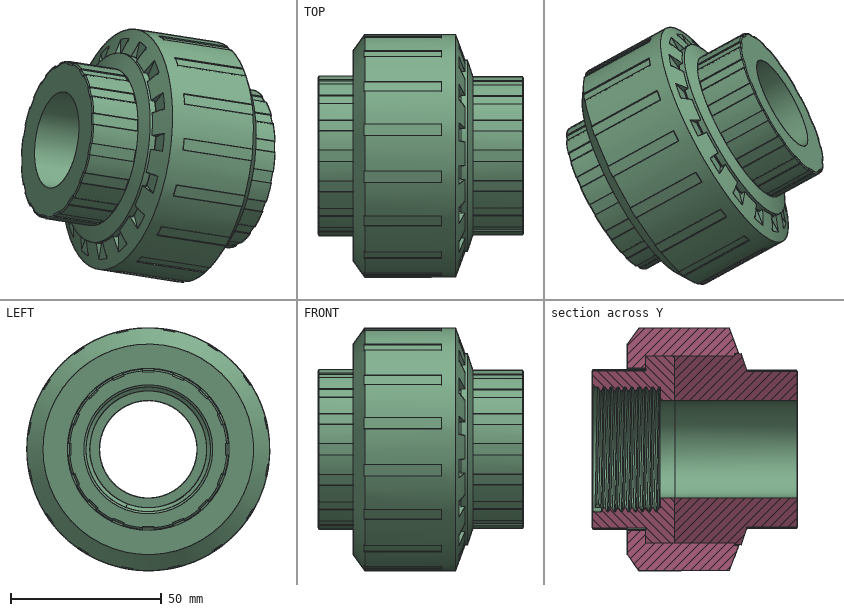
import cadquery as cq
import math


LENGTH = 68.3
FLOW_RADIUS = 16.2

NUT_RADIUS = 40.5
NUT_START = 11.7
NUT_FACE_RADIUS = 35.1
NUT_CHAMFER_END = 15.55
NUT_CONE_START = 45.75
NUT_END = 48.9
NUT_BORE_RADIUS = 27.0
NUT_LIP_END = 17.8
NUT_GROOVE_END = 41.05
NUT_GROOVE_WIDTH = 3.9
NUT_GROOVE_DEPTH = 0.5
NUT_GROOVE_CUT = 1.6
NUT_TURN = 12.5
NOTCH_START = 47.0
NOTCH_INNER_RADIUS = 30.3
NOTCH_INNER_HALF_WIDTH = 2.1
NOTCH_OUTER_HALF_WIDTH = 3.15
NOTCH_OUTER_RADIUS = 38.05

GRIP_COUNT = 16
GRIP_PITCH = 360 / GRIP_COUNT
HUB_GROOVE_WIDTH = 3.9
HUB_GROOVE_DEPTH = 0.5
HUB_CHAMFER = 0.6
END_BEVEL_LENGTH = 0.3

SOCKET_HUB_RADIUS = 26.7
SOCKET_DEPTH = 22.7
SOCKET_BORE_RADIUS = 20.7
SOCKET_BORE_CHAMFER = 0.7
JOINT_X = 27.5
BARREL_RADIUS = 31.1

THREAD_PITCH = 2.31
THREAD_START = 1.9
THREAD_TURNS = 9.7
THREAD_CREST_RADIUS = 19.4
THREAD_CREST_WIDTH = 0.6
THREAD_ROOT_WIDTH = 2.2
THREAD_ROOT_EMBED = 0.25
THREAD_START_ANGLE = 21.0

TAIL_HUB_RADIUS = 26.5
COLLAR_RADIUS = 31.9
COLLAR_START = 47.5
COLLAR_END = 49.7
TAIL_CONE_END = 51.5


def revolve_about_x(points):
    """Solid of revolution about X from an outline of (x, radius) points."""
    return cq.Workplane("XY").polyline(points).close().revolve(360, (0, 0, 0), (1, 0, 0))


def around_x(shape, first_angle=0.0):
    """Copies of a shape modelled at -Y, turned about X towards +Z, as one cutter."""
    copies = cq.Workplane("XY")
    for index in range(GRIP_COUNT):
        angle = -(first_angle + index * GRIP_PITCH)
        copies.add(shape.rotate((0, 0, 0), (1, 0, 0), angle))
    return copies.combine()


def nut_groove():
    """Flat-floored groove that runs out through the front chamfer of the nut."""
    return cq.Workplane("XY").box(
        NUT_GROOVE_END - NUT_START, NUT_GROOVE_CUT, NUT_GROOVE_WIDTH, centered=(False, False, True)
    ).translate((NUT_START, NUT_GROOVE_DEPTH - NUT_RADIUS - NUT_GROOVE_CUT, 0))


def hub_groove(hub_radius, outer_end, inner_end):
    """Flat-floored groove along a hub, with its floor chamfered at the outer end."""
    floor = hub_radius - HUB_GROOVE_DEPTH
    top = hub_radius + HUB_GROOVE_DEPTH
    inward = math.copysign(END_BEVEL_LENGTH, inner_end - outer_end)
    return (
        cq.Workplane("XY")
        .polyline([
            (outer_end, -top),
            (outer_end, HUB_CHAMFER - floor),
            (outer_end + inward, -floor),
            (inner_end, -floor),
            (inner_end, -top),
        ])
        .close()
        .extrude(HUB_GROOVE_WIDTH / 2, both=True)
    )


def make_nut():
    body = revolve_about_x([
        (NUT_START, NUT_BORE_RADIUS),
        (NUT_START, NUT_FACE_RADIUS),
        (NUT_CHAMFER_END, NUT_RADIUS),
        (NUT_CONE_START, NUT_RADIUS),
        (NUT_END, COLLAR_RADIUS),
        (COLLAR_START, COLLAR_RADIUS),
        (COLLAR_START, BARREL_RADIUS),
        (NUT_LIP_END, BARREL_RADIUS),
        (NUT_LIP_END, NUT_BORE_RADIUS),
    ])
    notch = (
        cq.Workplane("YZ", origin=(NOTCH_START, 0, 0))
        .polyline([
            (-NOTCH_INNER_RADIUS, -NOTCH_INNER_HALF_WIDTH),
            (-NOTCH_INNER_RADIUS, NOTCH_INNER_HALF_WIDTH),
            (-NOTCH_OUTER_RADIUS, NOTCH_OUTER_HALF_WIDTH),
            (-NOTCH_OUTER_RADIUS, -NOTCH_OUTER_HALF_WIDTH),
        ])
        .close()
        .extrude(NUT_END - NOTCH_START)
    )
    return body.cut(around_x(nut_groove(), NUT_TURN)).cut(around_x(notch, NUT_TURN))


def make_thread_ridge():
    """Right-hand trapezoidal ridge, its root sunk into the socket wall."""
    root_radius = SOCKET_BORE_RADIUS + THREAD_ROOT_EMBED
    helix = cq.Wire.makeHelix(THREAD_PITCH, THREAD_TURNS * THREAD_PITCH, SOCKET_BORE_RADIUS)
    ridge = (
        cq.Workplane("XZ")
        .polyline([
            (root_radius, -THREAD_ROOT_WIDTH / 2),
            (THREAD_CREST_RADIUS, -THREAD_CREST_WIDTH / 2),
            (THREAD_CREST_RADIUS, THREAD_CREST_WIDTH / 2),
            (root_radius, THREAD_ROOT_WIDTH / 2),
        ])
        .close()
        .sweep(cq.Workplane(obj=helix), isFrenet=True)
    )
    return (
        ridge.rotate((0, 0, 0), (0, 1, 0), 90)
        .rotate((0, 0, 0), (1, 0, 0), THREAD_START_ANGLE)
        .translate((THREAD_START, 0, 0))
    )


def make_socket_end():
    body = revolve_about_x([
        (END_BEVEL_LENGTH, SOCKET_BORE_RADIUS),
        (0, SOCKET_BORE_RADIUS + SOCKET_BORE_CHAMFER),
        (0, SOCKET_HUB_RADIUS - HUB_CHAMFER),
        (END_BEVEL_LENGTH, SOCKET_HUB_RADIUS),
        (NUT_LIP_END, SOCKET_HUB_RADIUS),
        (NUT_LIP_END, BARREL_RADIUS),
        (JOINT_X, BARREL_RADIUS),
        (JOINT_X, SOCKET_BORE_RADIUS),
    ])
    body = body.cut(around_x(hub_groove(SOCKET_HUB_RADIUS, 0, NUT_LIP_END)))
    floor = revolve_about_x([
        (SOCKET_DEPTH, FLOW_RADIUS),
        (JOINT_X, FLOW_RADIUS),
        (JOINT_X, SOCKET_HUB_RADIUS),
        (SOCKET_DEPTH, SOCKET_HUB_RADIUS),
    ])
    return body.union(make_thread_ridge()).union(floor)


def make_tailpiece():
    body = revolve_about_x([
        (JOINT_X, FLOW_RADIUS),
        (JOINT_X, BARREL_RADIUS),
        (COLLAR_START, BARREL_RADIUS),
        (COLLAR_START, COLLAR_RADIUS),
        (COLLAR_END, COLLAR_RADIUS),
        (TAIL_CONE_END, TAIL_HUB_RADIUS),
        (LENGTH - END_BEVEL_LENGTH, TAIL_HUB_RADIUS),
        (LENGTH, TAIL_HUB_RADIUS - HUB_CHAMFER),
        (LENGTH, FLOW_RADIUS),
    ])
    return body.cut(around_x(hub_groove(TAIL_HUB_RADIUS, LENGTH, TAIL_CONE_END)))


nut = make_nut()
socket_end = make_socket_end()
tailpiece = make_tailpiece()

result = cq.Compound.makeCompound([nut.val(), socket_end.val(), tailpiece.val()])